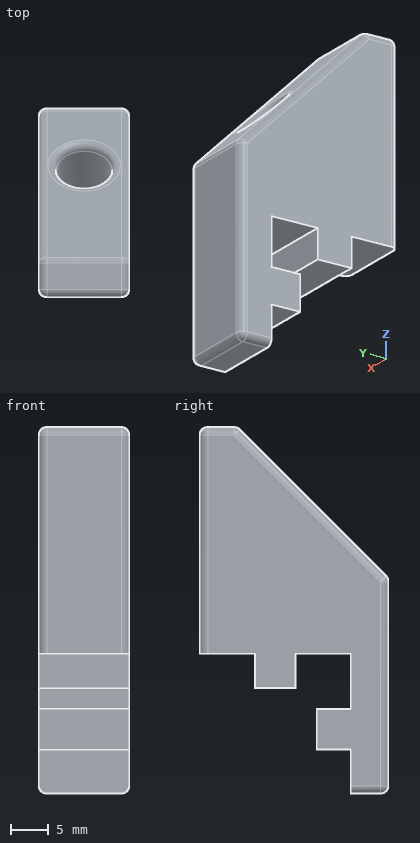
import cadquery as cq
import math

width = 12.0
depth = 25.0
height = 48.5
edge_radius = 1.05
top_flat = 5.0

leg_thickness = 5.0
floor_height = 18.5
tongue_size = 5.4
tongue_length = 4.5
tongue_offset = 7.28

hole_diameter = 7.4
hole_depth = 12.12
mouth_radius = 1.05
hole_from_back = 7.5

front_y = -depth / 2
back_y = depth / 2
leg_y = back_y - leg_thickness
slope_start_y = front_y + top_flat
slope_end_z = height - (back_y - slope_start_y)


def box(y_min, y_max, z_min, z_max):
    """Box centred on X that spans the given Y and Z limits."""
    block = cq.Workplane("XY").box(width, y_max - y_min, z_max - z_min)
    return block.translate((0, (y_min + y_max) / 2, (z_min + z_max) / 2))


def rounded_block():
    """Wedge-topped block with every outer edge rounded."""
    profile = [
        (front_y, 0),
        (back_y, 0),
        (back_y, slope_end_z),
        (slope_start_y, height),
        (front_y, height),
    ]
    block = cq.Workplane("YZ").polyline(profile).close().extrude(width / 2, both=True)
    return block.edges().fillet(edge_radius)


def slope_hole():
    """Round cutter with a flared mouth, running into the slope along its normal."""
    bore_radius = hole_diameter / 2
    outer_radius = bore_radius + mouth_radius
    arc_offset = mouth_radius * math.sqrt(0.5)
    center_y = back_y - hole_from_back
    center_z = slope_end_z + hole_from_back
    slope_plane = cq.Plane(
        origin=(0, center_y, center_z),
        xDir=(1, 0, 0),
        normal=(0, 1, 1),
    )
    cutter = (
        cq.Workplane("XZ")
        .moveTo(0, -hole_depth)
        .lineTo(bore_radius, -hole_depth)
        .lineTo(bore_radius, -mouth_radius)
        .threePointArc((outer_radius - arc_offset, arc_offset - mouth_radius), (outer_radius, 0))
        .lineTo(0, 0)
        .close()
        .revolve(360, (0, 0, 0), (0, 1, 0))
    )
    return cq.Workplane(cutter.val().moved(cq.Location(slope_plane)))


body = rounded_block().cut(box(front_y, leg_y, 0, floor_height))

floor_tongue_y = leg_y - tongue_offset
floor_tongue = box(
    floor_tongue_y - tongue_size, floor_tongue_y, floor_height - tongue_length, floor_height
)
leg_tongue_z = floor_height - tongue_offset
leg_tongue = box(leg_y - tongue_length, leg_y, leg_tongue_z - tongue_size, leg_tongue_z)

result = body.union(floor_tongue).union(leg_tongue).cut(slope_hole())